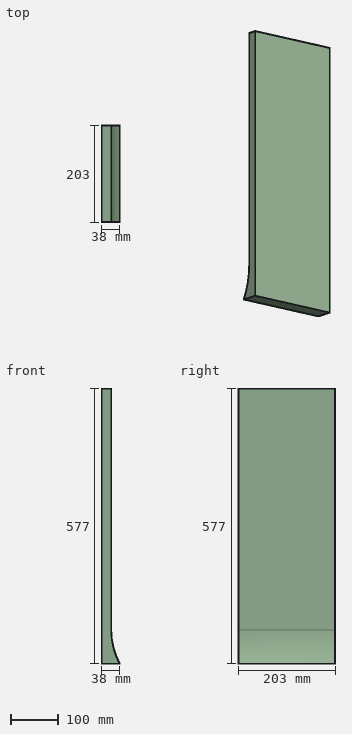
import cadquery as cq
import math

height = 577.0
width = 203.0
foot_depth = 38.0
plate_thickness = 20.0

flare_radius = 150.0
flare_reach = foot_depth - plate_thickness
flare_angle = math.acos(1 - flare_reach / flare_radius)
flare_height = flare_radius * math.sin(flare_angle)


def flare_point(angle):
    """Point on the flare, at an angle measured down from its tangent start."""
    x = plate_thickness + flare_radius * (1 - math.cos(angle))
    z = flare_height - flare_radius * math.sin(angle)
    return x, z


profile = (
    cq.Workplane("XZ")
    .moveTo(0, 0)
    .lineTo(foot_depth, 0)
    .threePointArc(flare_point(flare_angle / 2), flare_point(0))
    .lineTo(plate_thickness, height)
    .lineTo(0, height)
    .close()
)

result = profile.extrude(width / 2, both=True).translate((-foot_depth / 2, 0, -height / 2))